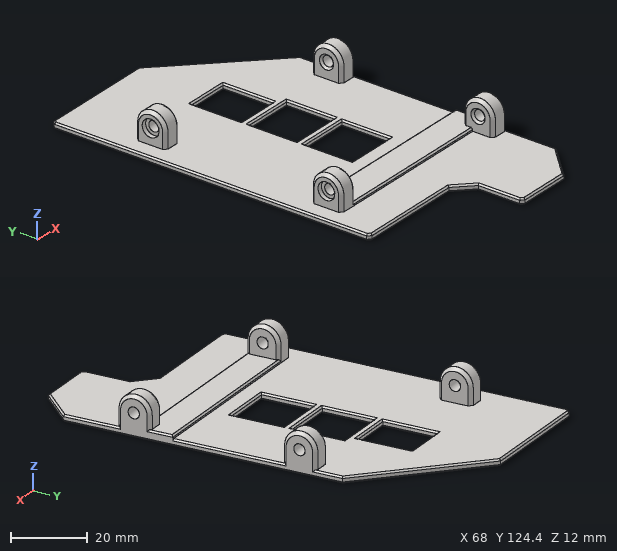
import cadquery as cq

PLATE_X = 68.0
PLATE_Y = 124.4
PLATE_THICK = 2.0
EDGE_CHAMFER = 0.5
CORNER_CHAMFER = 1.0

REAR_CUT = 30.4
FRONT_CUT = 10.3
NOTCH_X = 39.8
NOTCH_Y = 20.0
NOTCH_SLANT = 5.5

WINDOW_X = 30.1
NARROW_WINDOW = (13.7, 16.3)
WIDE_WINDOW = (16.3, 15.7)
WINDOWS = [
    (84.8, NARROW_WINDOW),
    (66.7, WIDE_WINDOW),
    (48.5, WIDE_WINDOW),
]

TOTAL_HEIGHT = 12.0
LUG_THICK = 6.0
LUG_WIDTH = 10.0
LUG_CHAMFER = 1.0
LEFT_LUG_X = 5.2
RIGHT_LUG_X = PLATE_X - LUG_THICK
LEFT_LUGS_Y = [95.8, 38.2]
RIGHT_LUGS_Y = [81.1, 31.5]
ROOT_Z = EDGE_CHAMFER
LUG_RADIUS = LUG_WIDTH / 2
HOLE_Z = TOTAL_HEIGHT - LUG_RADIUS

HOLE_DIA = 3.4
HEAD_DIA = 5.5
HEAD_DEPTH = 1.5
LEAD_IN_DIA = 4.6
LEAD_IN_DEPTH = 0.7

RIB_HEIGHT = 3.0
RIB_CHAMFER = 0.5


def make_plate():
    outline = [
        (0, NOTCH_Y),
        (NOTCH_X - NOTCH_SLANT, NOTCH_Y),
        (NOTCH_X, NOTCH_Y - NOTCH_SLANT),
        (NOTCH_X, 0),
        (PLATE_X - FRONT_CUT, 0),
        (PLATE_X, FRONT_CUT),
        (PLATE_X, PLATE_Y - REAR_CUT),
        (PLATE_X - REAR_CUT, PLATE_Y),
        (0, PLATE_Y),
    ]
    square_corners = [(0, NOTCH_Y), (NOTCH_X, 0), (0, PLATE_Y)]
    plate = cq.Workplane("XY").polyline(outline).close().extrude(PLATE_THICK)
    for x, y in square_corners:
        corner = cq.selectors.NearestToPointSelector((x, y, PLATE_THICK / 2))
        plate = plate.edges("|Z").edges(corner).chamfer(CORNER_CHAMFER)
    for front_y, (width, length) in WINDOWS:
        window = cq.Workplane("XY").box(width, length, PLATE_THICK, centered=False)
        plate = plate.cut(window.translate((WINDOW_X, front_y, 0)))
    return plate.faces("<Z or >Z").edges().chamfer(EDGE_CHAMFER)


def make_rib():
    start_x = LEFT_LUG_X + LUG_THICK / 2
    rib = cq.Workplane("XY").box(
        PLATE_X - start_x, LUG_WIDTH, RIB_HEIGHT - ROOT_Z, centered=False
    )
    rib = rib.faces(">Z").edges("|X or >X").chamfer(RIB_CHAMFER)
    return rib.translate((start_x, LEFT_LUGS_Y[1] - LUG_RADIUS, ROOT_Z))


def make_lug(left_x, center_y):
    """Round-topped lug with both faces chamfered, rooted inside the plate."""
    lug = (
        cq.Workplane("YZ")
        .moveTo(-LUG_RADIUS, ROOT_Z)
        .lineTo(LUG_RADIUS, ROOT_Z)
        .lineTo(LUG_RADIUS, HOLE_Z)
        .threePointArc((0, TOTAL_HEIGHT), (-LUG_RADIUS, HOLE_Z))
        .close()
        .extrude(LUG_THICK)
    )
    lug = lug.faces("<X or >X").edges("not <Z").chamfer(LUG_CHAMFER)
    return lug.translate((left_x, center_y, 0))


def bore(left_x, center_y, diameter, depth):
    plane = cq.Workplane("YZ", origin=(left_x, center_y, HOLE_Z))
    return plane.circle(diameter / 2).extrude(depth)


def countersink(left_x, center_y):
    plane = cq.Workplane("YZ", origin=(left_x, center_y, HOLE_Z))
    mouth = plane.circle(LEAD_IN_DIA / 2)
    return mouth.workplane(offset=LEAD_IN_DEPTH).circle(HOLE_DIA / 2).loft()


result = make_plate().union(make_rib())

for lug_y in LEFT_LUGS_Y:
    result = result.union(make_lug(LEFT_LUG_X, lug_y))
    result = result.cut(bore(LEFT_LUG_X, lug_y, HOLE_DIA, LUG_THICK))
    result = result.cut(bore(LEFT_LUG_X, lug_y, HEAD_DIA, HEAD_DEPTH))

for lug_y in RIGHT_LUGS_Y:
    result = result.union(make_lug(RIGHT_LUG_X, lug_y))
    result = result.cut(bore(RIGHT_LUG_X, lug_y, HOLE_DIA, LUG_THICK))
    result = result.cut(countersink(RIGHT_LUG_X, lug_y))